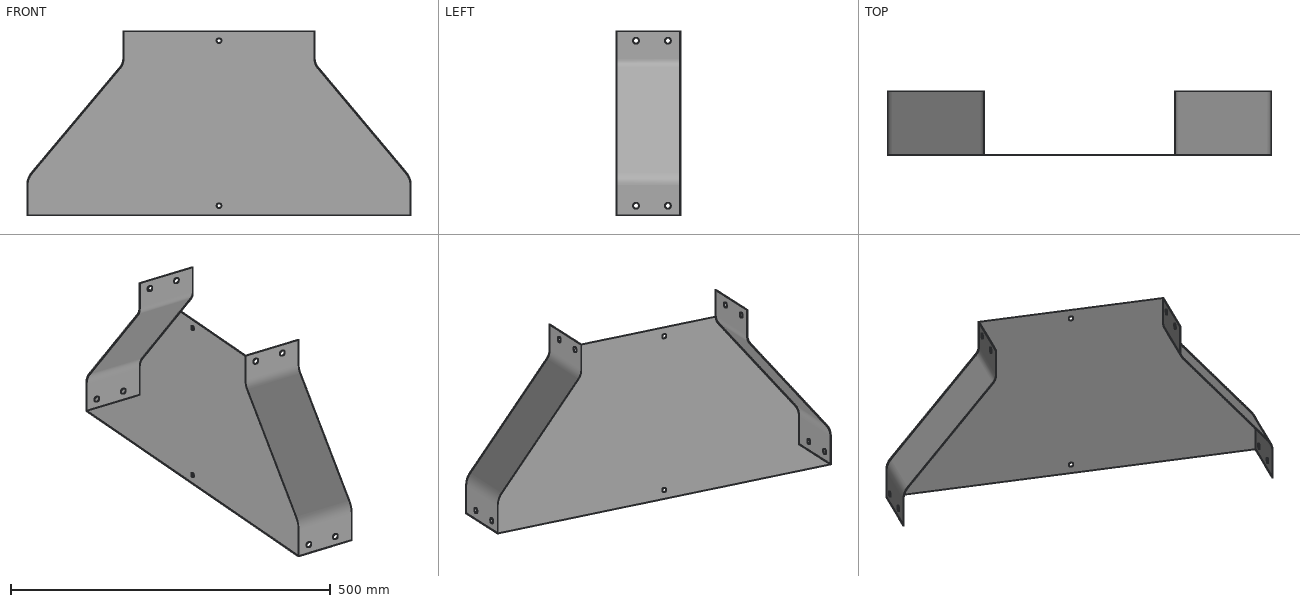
import cadquery as cq
import math

width = 600.0
depth = 100.0
height = 288.0
sheet = 0.9

top_width = 300.0
lower_corner_z = 58.0
upper_corner_z = 237.0
lower_bend_radius = 30.5
upper_bend_radius = 20.0

face_hole_diameter = 7.0
flange_hole_diameter = 9.0
hole_edge_distance = 15.0
flange_hole_spacing = 50.0
first_flange_hole_y = 20.0

half_width = width / 2
half_top_width = top_width / 2
slope_angle = math.atan2(half_width - half_top_width, upper_corner_z - lower_corner_z)
hole_levels = (hole_edge_distance, height - hole_edge_distance)


def outline_prism(inset, y_start, y_end):
    """Solid bounded by the side profile, with each side moved inwards by inset."""
    corner_drop = inset * math.tan(slope_angle / 2)
    lower_z = lower_corner_z - corner_drop
    upper_z = upper_corner_z - corner_drop
    bottom_x = half_width - inset
    top_x = half_top_width - inset
    corners = [
        (-bottom_x, 0),
        (bottom_x, 0),
        (bottom_x, lower_z),
        (top_x, upper_z),
        (top_x, height),
        (-top_x, height),
        (-top_x, upper_z),
        (-bottom_x, lower_z),
    ]
    prism = (
        cq.Workplane("XZ", origin=(0, y_start, 0))
        .polyline(corners)
        .close()
        .extrude(y_start - y_end)
    )
    for bend_z, radius in (
        (lower_z, lower_bend_radius - inset),
        (upper_z, upper_bend_radius + inset),
    ):
        bend_edges = cq.selectors.BoxSelector(
            (-width, y_start - depth, bend_z - sheet),
            (width, y_end + depth, bend_z + sheet),
        )
        prism = prism.edges("|Y").edges(bend_edges).fillet(radius)
    return prism


def face_holes():
    """Holes through the front plate, on its centre line."""
    return (
        cq.Workplane("XZ")
        .pushPoints([(0, z) for z in hole_levels])
        .circle(face_hole_diameter / 2)
        .extrude(-sheet)
    )


def flange_holes():
    """Pairs of holes through the vertical flanges of both side walls."""
    hole_ys = (first_flange_hole_y, first_flange_hole_y + flange_hole_spacing)
    return (
        cq.Workplane("YZ")
        .pushPoints([(y, z) for y in hole_ys for z in hole_levels])
        .circle(flange_hole_diameter / 2)
        .extrude(half_width, both=True)
    )


outer = outline_prism(0, 0, depth)
inner = outline_prism(sheet, sheet, depth)
result = outer.cut(inner).cut(face_holes()).cut(flange_holes())